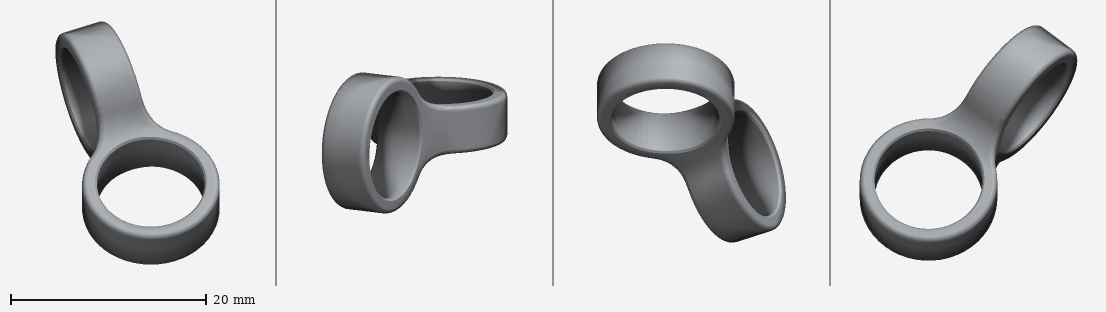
import cadquery as cq
import math

outer_radius = 7.05
bore_radius = 5.52
ring_width = 5.0
blend_radius = 5.0
edge_fillet = 0.5
bore_chamfer = 0.2
rim_tolerance = 0.003

half_width = ring_width / 2
strip_end = 2 * outer_radius + 0.28

blend_center_height = half_width + blend_radius
center_distance = outer_radius + blend_radius
blend_end = math.sqrt(center_distance**2 - blend_center_height**2) - outer_radius
blend_center = (blend_end, blend_center_height)


def point_on_blend(angle):
    """Point on the upper blend arc at an angle in radians."""
    return (
        blend_center[0] + blend_radius * math.cos(angle),
        blend_center[1] + blend_radius * math.sin(angle),
    )


def mirrored(point):
    return (point[0], -point[1])


def ring_and_strip(plane, side):
    """Prism of one ring's disc flaring into a strip; side is -1 for -X, 1 for +X."""
    def place(point):
        return (-side * point[0], point[1])

    start_angle = math.atan2(-blend_center_height, -(outer_radius + blend_end))
    end_angle = -math.pi / 2
    blend_start = point_on_blend(start_angle)
    blend_middle = point_on_blend((start_angle + end_angle) / 2)
    blend_finish = (blend_end, half_width)
    strip_corner = (strip_end, half_width)
    return (
        cq.Workplane(plane)
        .workplane(offset=-strip_end / 2)
        .moveTo(*place(blend_start))
        .threePointArc(place(blend_middle), place(blend_finish))
        .lineTo(*place(strip_corner))
        .lineTo(*place(mirrored(strip_corner)))
        .lineTo(*place(mirrored(blend_finish)))
        .threePointArc(place(mirrored(blend_middle)), place(mirrored(blend_start)))
        .threePointArc(place((-2 * outer_radius, 0)), place(blend_start))
        .close()
        .extrude(strip_end)
    )


def bore(plane, side):
    """Plain cylinder that cuts the hole of one ring."""
    return (
        cq.Workplane(plane)
        .workplane(offset=-ring_width)
        .center(side * outer_radius, 0)
        .circle(bore_radius)
        .extrude(2 * ring_width)
    )


def is_bore_rim(edge):
    """True for a curved edge lying on either bore's wall."""
    if edge.geomType() == "LINE":
        return False
    point = edge.positionAt(0.5)
    left_distance = math.hypot(point.x + outer_radius, point.z)
    right_distance = math.hypot(point.x - outer_radius, point.y)
    return min(abs(left_distance - bore_radius), abs(right_distance - bore_radius)) < rim_tolerance


body = ring_and_strip("XZ", -1).intersect(ring_and_strip("XY", 1))

body = body.edges("not %LINE").fillet(edge_fillet)

body = body.cut(bore("XZ", -1)).cut(bore("XY", 1))

result = body.edges().filter(is_bore_rim).chamfer(bore_chamfer)